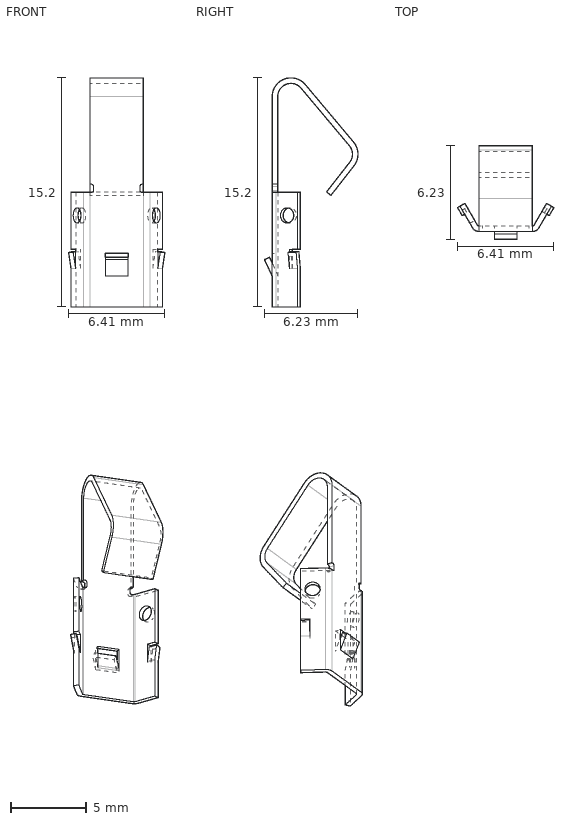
import cadquery as cq
import math

thickness = 0.38
total_height = 15.24
strip_width = 3.55
half_strip = strip_width / 2

hook_radius = 1.25
arm_slope = 50.0
arm_length = 5.0
lip_slope = 52.0
lip_length = 2.5

wing_height = 7.65
wing_bend_radius = 0.5
wing_angle = 60.0
wing_length = 1.66
wing_hole_diameter = 1.0
wing_hole_height = 6.1
wing_hole_offset = 0.85

relief_depth = 0.23
relief_height = 0.55
relief_base = 7.62
relief_corner = 0.14

latch_width = 1.52
latch_base = 2.05
latch_window_height = 1.52
latch_length = 1.22
latch_angle = 25.0

barb_width = 0.62
barb_base = 2.56
barb_window_height = 1.28
barb_length = 1.1
barb_angle = 10.0


def polar(center, radius, degrees):
    """Point at a given angle and distance from a center."""
    angle = math.radians(degrees)
    return (center[0] + radius * math.cos(angle), center[1] + radius * math.sin(angle))


def make_strip():
    """Plate and hook: a constant-thickness profile in YZ, extruded across X."""
    inner_radius = hook_radius - thickness
    top_center = (hook_radius, total_height - hook_radius)
    nose_center = polar(top_center, arm_length, -arm_slope)
    arm_normal = 90 - arm_slope
    lip_normal = lip_slope - 90
    nose_middle = (arm_normal + lip_normal) / 2
    top_middle = (180 + arm_normal) / 2
    lip_direction = lip_normal - 90
    lip_outer = polar(nose_center, hook_radius, lip_normal)
    lip_inner = polar(nose_center, inner_radius, lip_normal)
    profile = (
        cq.Workplane("YZ")
        .moveTo(0, 0)
        .lineTo(0, top_center[1])
        .threePointArc(polar(top_center, hook_radius, top_middle), polar(top_center, hook_radius, arm_normal))
        .lineTo(*polar(nose_center, hook_radius, arm_normal))
        .threePointArc(polar(nose_center, hook_radius, nose_middle), lip_outer)
        .lineTo(*polar(lip_outer, lip_length, lip_direction))
        .lineTo(*polar(lip_inner, lip_length, lip_direction))
        .lineTo(*lip_inner)
        .threePointArc(
            polar(nose_center, inner_radius, nose_middle), polar(nose_center, inner_radius, arm_normal)
        )
        .lineTo(*polar(top_center, inner_radius, arm_normal))
        .threePointArc(polar(top_center, inner_radius, top_middle), (thickness, top_center[1]))
        .lineTo(thickness, 0)
        .close()
    )
    return profile.extrude(half_strip, both=True)


def tab_profile(plane, base, length, angle):
    """Tab hinged at its base: local x points into the sheet, local y points up."""
    hinge = (0, base)
    tip = polar(hinge, length, 90 + angle)
    inner_tip = polar(tip, thickness, angle)
    inner_base = polar(hinge, thickness, angle)
    return cq.Workplane(plane).polyline([hinge, tip, inner_tip, inner_base, (thickness, base)]).close()


def add_latch(body):
    """Open a window in the plate and bend its tab forward."""
    window = cq.Workplane("XY").box(
        latch_width, 2 * thickness, latch_window_height, centered=(True, True, False)
    ).translate((0, thickness / 2, latch_base))
    tab = tab_profile("YZ", latch_base, latch_length, latch_angle).extrude(latch_width / 2, both=True)
    return body.cut(window).union(tab)


def make_wing():
    """Right-hand wing with its bend, hole and barb."""
    bend_center = (half_strip, wing_bend_radius)
    inner_radius = wing_bend_radius - thickness
    bend_end = wing_angle - 90
    bend_middle = wing_angle / 2 - 90
    outer_start = polar(bend_center, wing_bend_radius, bend_end)
    inner_start = polar(bend_center, inner_radius, bend_end)
    wing = (
        cq.Workplane("XY")
        .moveTo(half_strip, 0)
        .threePointArc(polar(bend_center, wing_bend_radius, bend_middle), outer_start)
        .lineTo(*polar(outer_start, wing_length, wing_angle))
        .lineTo(*polar(inner_start, wing_length, wing_angle))
        .lineTo(*inner_start)
        .threePointArc(polar(bend_center, inner_radius, bend_middle), (half_strip, thickness))
        .close()
        .extrude(wing_height)
    )

    along = (*polar((0, 0), 1, wing_angle), 0)
    inward = (*polar((0, 0), 1, wing_angle + 90), 0)
    outward = (*polar((0, 0), 1, bend_end), 0)
    hole_center = (*polar(outer_start, wing_hole_offset, wing_angle), wing_hole_height)
    hole = (
        cq.Workplane(cq.Plane(hole_center, xDir=along, normal=outward))
        .circle(wing_hole_diameter / 2)
        .extrude(2 * thickness, both=True)
    )

    free_edge = (*polar(outer_start, wing_length, wing_angle), 0)
    barb_plane = cq.Plane(free_edge, xDir=inward, normal=along)
    notch = (
        cq.Workplane(barb_plane)
        .center(thickness / 2, barb_base + barb_window_height / 2)
        .rect(2 * thickness, barb_window_height)
        .extrude(-barb_width)
    )
    barb = tab_profile(barb_plane, barb_base, barb_length, barb_angle).extrude(-barb_width)
    return wing.cut(hole).cut(notch).union(barb)


def make_relief():
    """Notch in the right-hand edge of the strip, at the top of the wing."""
    return (
        cq.Workplane("XY")
        .box(2 * relief_depth, 3 * thickness, relief_height, centered=(True, True, False))
        .edges("|Y")
        .fillet(relief_corner)
        .translate((half_strip, 0, relief_base))
    )


right_wing = make_wing()
right_relief = make_relief()

result = add_latch(make_strip())
for relief in (right_relief, right_relief.mirror("YZ")):
    result = result.cut(relief)
for wing in (right_wing, right_wing.mirror("YZ")):
    result = result.union(wing)